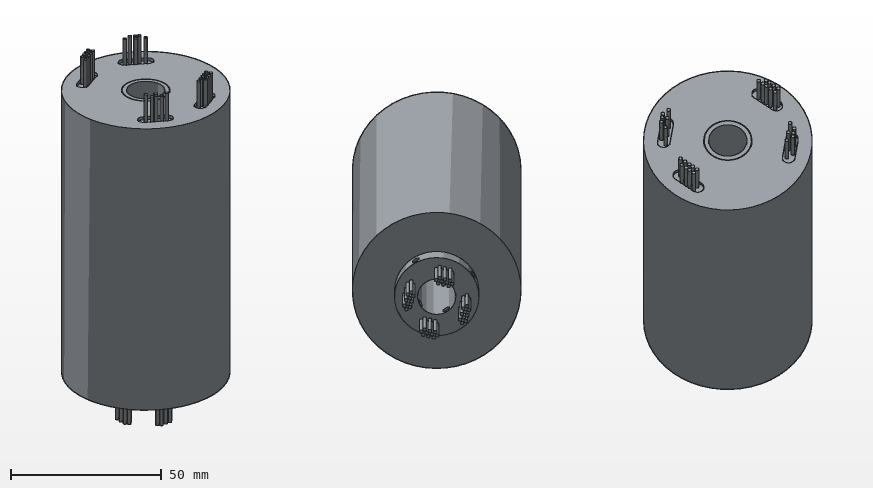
import cadquery as cq
import math

total_height = 129.4
body_diameter = 56.0
bore_diameter = 12.7

flange_diameter = body_diameter / 2
flange_height = 5.4

upper_wire_length = 9.0
lower_wire_length = 9.7
wire_diameter = 1.2
wire_embed = 1.3

sleeve_diameter = 15.7
sleeve_clearance = 0.2
sleeve_groove_depth = 1.3

slot_pitch_radius = 21.0
slot_angle = 30.0
slot_length = 11.9
slot_width = 4.1
slot_depth = 1.2

screw_hole_diameter = 2.5
screw_hole_drop = 3.1
screw_hole_count = 4
screw_hole_start_angle = 45.0

flange_bottom = lower_wire_length
body_bottom = flange_bottom + flange_height
body_top = total_height - upper_wire_length
slot_floor = body_top - slot_depth

inner_row_radius = 20.3
outer_row_radius = 22.0
slot_places = (3.1, 1.3, -0.1, -2.0, -3.9)

sparse_slot = {"inner": (0, 2, 4), "outer": (1, 2, 3)}
right_full_slot = {"inner": (0, 1, 2, 3, 4), "outer": (0, 1, 2, 3)}
left_full_slot = {"inner": (0, 1, 2, 3, 4), "outer": (1, 2, 3, 4)}

quadrants = (
    (1, 1, right_full_slot),
    (-1, 1, sparse_slot),
    (-1, -1, left_full_slot),
    (1, -1, sparse_slot),
)

lower_bundle_radius = 9.6
lower_row_gap = 0.96
lower_row_counts = (3, 4, 3)
front_bundle_pitch = 2.1
side_bundle_pitch = 1.8


def cylinder(diameter, bottom, top, points=((0, 0),)):
    """Upright cylinders at the given XY points."""
    return (
        cq.Workplane("XY", origin=(0, 0, bottom))
        .pushPoints(points)
        .circle(diameter / 2)
        .extrude(top - bottom)
    )


def slot_cutter(x_sign, y_sign):
    """Round-ended slot at right angles to the radius through its middle."""
    angle = math.radians(slot_angle)
    x = x_sign * slot_pitch_radius * math.cos(angle)
    y = y_sign * slot_pitch_radius * math.sin(angle)
    direction = x_sign * y_sign * (slot_angle + 90)
    return (
        cq.Workplane("XY", origin=(x, y, slot_floor))
        .slot2D(slot_length, slot_width, direction)
        .extrude(slot_depth)
    )


def upper_wire_points(x_sign, y_sign, occupied):
    """XY positions of the wires standing in one slot."""
    angle = math.radians(slot_angle)
    points = []
    for row, radius in (("inner", inner_row_radius), ("outer", outer_row_radius)):
        for place in occupied[row]:
            along = slot_places[place]
            x = radius * math.cos(angle) - along * math.sin(angle)
            y = radius * math.sin(angle) + along * math.cos(angle)
            points.append((x_sign * x, y_sign * y))
    return points


def centred_steps(count):
    """Unit steps spread evenly about zero."""
    return [index - (count - 1) / 2 for index in range(count)]


def lower_wire_points():
    """XY positions of the staggered three-row bundles below the flange."""
    points = []
    for row, count in zip(centred_steps(len(lower_row_counts)), lower_row_counts):
        radius = lower_bundle_radius + row * lower_row_gap
        for step in centred_steps(count):
            for side in (-1, 1):
                points.append((step * front_bundle_pitch, side * radius))
                points.append((side * radius, step * side_bundle_pitch))
    return points


def screw_hole_cutter(index):
    """Radial hole from the bore out through the flange wall."""
    angle = screw_hole_start_angle + index * 360 / screw_hole_count
    return (
        cq.Workplane("YZ")
        .circle(screw_hole_diameter / 2)
        .extrude(flange_diameter)
        .rotate((0, 0, 0), (0, 0, 1), angle)
        .translate((0, 0, body_bottom - screw_hole_drop))
    )


result = cylinder(body_diameter, body_bottom, body_top)
result = result.union(cylinder(flange_diameter, flange_bottom, body_bottom))
result = result.cut(cylinder(bore_diameter, flange_bottom, body_top))

groove_floor = body_top - sleeve_groove_depth
groove_diameter = sleeve_diameter + 2 * sleeve_clearance
sleeve_groove = cylinder(groove_diameter, groove_floor, body_top)
sleeve_groove = sleeve_groove.cut(cylinder(sleeve_diameter, groove_floor, body_top))
result = result.cut(sleeve_groove)

for hole in range(screw_hole_count):
    result = result.cut(screw_hole_cutter(hole))

for x_side, y_side, wires in quadrants:
    result = result.cut(slot_cutter(x_side, y_side))
    positions = upper_wire_points(x_side, y_side, wires)
    result = result.union(cylinder(wire_diameter, slot_floor - wire_embed, total_height, positions))

result = result.union(cylinder(wire_diameter, 0, flange_bottom + wire_embed, lower_wire_points()))